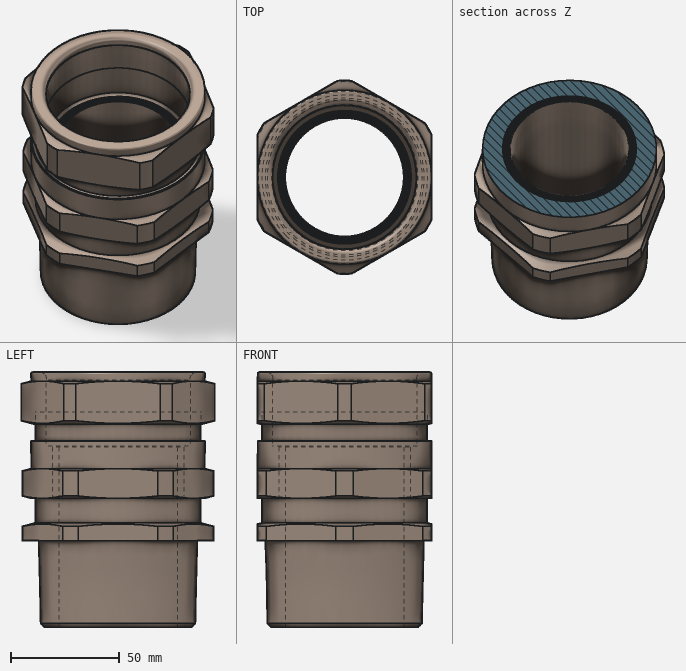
import cadquery as cq
import math

total_height = 117.35
entry_hex_bottom = 39.85
entry_hex_top = 48.05
body_bottom = 59.35
body_hex_top = 72.95
body_shoulder = 85.85
nut_bottom = 93.25
nut_hex_top = 113.15
body_top = 99.2
body_floor = 83.5

across_flats = 80.0
nut_corner_radius = 44.5
body_corner_radius = 44.0
bevel_angle = math.radians(15)
collar_radius = across_flats / 2

neck_radius = 38.0
upper_bore_radius = 33.2
mouth_radius = 33.0
lower_bore_radius = 27.2
spigot_radius = 30.2

taper_tip_radius = 35.6
taper_top_radius = 36.5
tip_chamfer = 2.0

mouth_round = 3.0
mouth_land = 0.6
nut_edge_round = 1.0
shoulder_chamfer = 0.4
ledge_chamfer = 0.45

groove_count = 2
groove_depth = 0.2
groove_pitch = 1.3
groove_width = groove_pitch / 2
groove_wall = 0.5


def cylinder(radius, bottom, top):
    return cq.Workplane("XY").workplane(offset=bottom).circle(radius).extrude(top - bottom)


def revolved(outline):
    """Solid of revolution about Z from (radius, height) points."""
    return cq.Workplane("XZ").polyline(outline).close().revolve(360, (0, 0, 0), (0, 1, 0))


def hexagon(bottom, top, corner_radius, top_start, bottom_start=None):
    """Hexagon with flats across X.

    A cone bevels the top corners outward from radius top_start.
    The bottom is bevelled the same way only if bottom_start is given.
    """
    prism = (
        cq.Workplane("XY")
        .workplane(offset=bottom)
        .polygon(6, across_flats, circumscribed=True)
        .extrude(top - bottom)
    )
    top_drop = (corner_radius - top_start) * math.tan(bevel_angle)
    outline = [(0, top), (top_start, top), (corner_radius, top - top_drop)]
    if bottom_start is None:
        outline.append((corner_radius, bottom))
    else:
        bottom_rise = (corner_radius - bottom_start) * math.tan(bevel_angle)
        outline += [(corner_radius, bottom + bottom_rise), (bottom_start, bottom)]
    outline.append((0, bottom))
    return prism.intersect(revolved(outline))


def make_entry():
    """Tapered entry with its flange hexagon, neck and grooved spigot."""
    taper = revolved([
        (0, 0),
        (taper_tip_radius - tip_chamfer, 0),
        (taper_tip_radius, tip_chamfer),
        (taper_top_radius, entry_hex_bottom),
        (0, entry_hex_bottom),
    ])
    flange = hexagon(entry_hex_bottom, entry_hex_top, body_corner_radius, top_start=neck_radius)
    neck = cylinder(neck_radius, entry_hex_top, body_bottom)
    spigot = cylinder(spigot_radius, body_bottom, body_floor)
    entry = taper.union(flange).union(neck).union(spigot)
    entry = entry.cut(cylinder(lower_bore_radius, 0, body_floor))
    for index in range(groove_count):
        inner_radius = lower_bore_radius + groove_wall + index * groove_pitch
        groove = cylinder(inner_radius + groove_width, body_floor - groove_depth, body_floor)
        groove = groove.cut(cylinder(inner_radius, body_floor - groove_depth, body_floor))
        entry = entry.cut(groove)
    return entry


def make_body():
    """Middle body with hexagon, collar and the neck that enters the nut."""
    body = hexagon(body_bottom, body_hex_top, body_corner_radius, collar_radius, collar_radius)
    collar = cylinder(collar_radius, body_hex_top, body_shoulder).faces(">Z").chamfer(shoulder_chamfer)
    body = body.union(collar).union(cylinder(neck_radius, body_shoulder, body_top))
    body = body.cut(cylinder(upper_bore_radius, body_floor, body_top))
    body = body.cut(cylinder(spigot_radius, body_bottom, body_floor))
    near_ledge = cq.selectors.BoxSelector(
        (-across_flats, -across_flats, body_floor - ledge_chamfer),
        (across_flats, across_flats, body_floor + ledge_chamfer),
    )
    return body.edges(near_ledge).edges(cq.selectors.RadiusNthSelector(0)).chamfer(ledge_chamfer)


def make_nut():
    """Top nut with a rounded mouth and a recess for the body's neck."""
    collar = cylinder(collar_radius, nut_hex_top, total_height).faces(">Z").edges().fillet(nut_edge_round)
    collar = collar.cut(cylinder(mouth_radius, nut_hex_top, total_height))
    collar = collar.faces(">Z").edges(cq.selectors.RadiusNthSelector(0)).fillet(mouth_round)
    nut = hexagon(nut_bottom, nut_hex_top, nut_corner_radius, collar_radius, neck_radius)
    nut = nut.cut(cylinder(mouth_radius, nut_bottom, nut_hex_top)).union(collar)
    land_bottom = total_height - mouth_round - mouth_land
    nut = nut.cut(cylinder(upper_bore_radius, nut_bottom, land_bottom))
    return nut.cut(cylinder(neck_radius, nut_bottom, body_top))


entry = make_entry()
body = make_body()
nut = make_nut()
result = cq.Compound.makeCompound([entry.val(), body.val(), nut.val()])